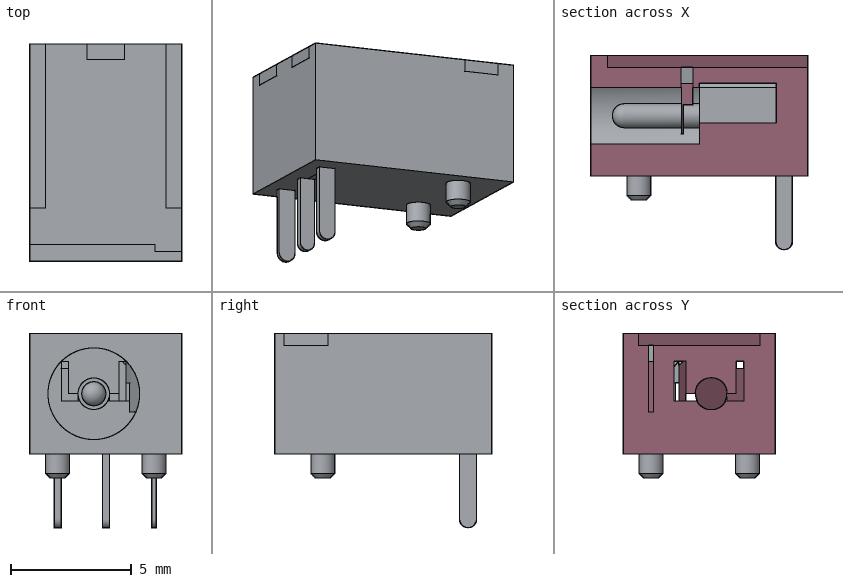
import cadquery as cq
import math


WIDTH = 6.3
DEPTH = 9.0
HEIGHT = 4.995

BORE_DIAMETER = 3.8
BORE_RADIUS = BORE_DIAMETER / 2
BORE_DEPTH = 4.5
AXIS_X = -0.495
AXIS_Z = HEIGHT / 2
PIN_DIAMETER = 1.0
PIN_TIP_Y = 0.9
COLLAR_DIAMETER = 1.305
COLLAR_RADIUS = COLLAR_DIAMETER / 2

PEG_DIAMETER = 1.0
PEG_LENGTH = 1.0
PEG_CHAMFER = 0.2
PEG_OFFSET_X = 2.0
PEG_Y = 2.0

LID_THICKNESS = 0.495
SIDE_RIM_WIDTH = 0.65
SIDE_RIM_FRONT_Y = 2.205
FRONT_RIM_DEPTH = 0.7
RIM_STEP_X = 2.04
RIM_STEP_DEPTH = 0.4
REAR_TAB_WIDTH = 1.56
REAR_TAB_DEPTH = 0.64
LID_BOTTOM_Z = HEIGHT - LID_THICKNESS

SHEET = 0.3
SPRING_SHEET = 0.2
LEG_BOTTOM_Z = -3.05
LEG_Y = 8.01
SIDE_LEG_WIDTH = 0.72
MIDDLE_LEG_WIDTH = 0.65
SIDE_LEG_X = 2.0

SLOT_HALF_WIDTH = BORE_RADIUS * math.sin(math.pi / 4)
SLOT_LEFT_X = AXIS_X - SLOT_HALF_WIDTH
SLOT_RIGHT_X = AXIS_X + SLOT_HALF_WIDTH
SLOT_TOP_Z = AXIS_Z + SLOT_HALF_WIDTH
SLOT_BOTTOM_Z = AXIS_Z - SHEET

CONTACT_CHAMFER = 0.17

PLATE_FRONT_Y = LEG_Y - MIDDLE_LEG_WIDTH / 2

SPRING_BOTTOM_Z = 1.75
FINGER_BOTTOM_Z = 2.94
FOLD_Y = 1.53
KNEE_X = 1.035
LEAF_EDGE_X = 0.98
LEAF_ANGLE = 22.0
KNEE_ANGLE = 17.0
FINGER_ANGLE = 19.0


def block(x0, x1, y0, y1, z0, z1):
    """Box between two opposite corners."""
    return cq.Workplane("XY").box(x1 - x0, y1 - y0, z1 - z0, centered=False).translate((x0, y0, z0))


def y_cylinder(diameter, y0, y1):
    """Cylinder on the bore axis."""
    circle = cq.Workplane("XZ", origin=(AXIS_X, y0, AXIS_Z)).circle(diameter / 2)
    return circle.extrude(y0 - y1)


def make_leg(center_x, thickness, width, top_z):
    """Flat solder leg with a rounded lower end."""
    radius = width / 2
    return (
        cq.Workplane("YZ", origin=(center_x - thickness / 2, 0, 0))
        .moveTo(LEG_Y - radius, top_z)
        .lineTo(LEG_Y - radius, LEG_BOTTOM_Z + radius)
        .threePointArc((LEG_Y, LEG_BOTTOM_Z), (LEG_Y + radius, LEG_BOTTOM_Z + radius))
        .lineTo(LEG_Y + radius, top_z)
        .close()
        .extrude(thickness)
    )


def make_lid():
    """Flat lid, set flush into the top of the housing."""
    half = WIDTH / 2
    inner = half - SIDE_RIM_WIDTH
    outline = [
        (-half, FRONT_RIM_DEPTH),
        (RIM_STEP_X, FRONT_RIM_DEPTH),
        (RIM_STEP_X, RIM_STEP_DEPTH),
        (half, RIM_STEP_DEPTH),
        (half, SIDE_RIM_FRONT_Y),
        (inner, SIDE_RIM_FRONT_Y),
        (inner, DEPTH),
        (REAR_TAB_WIDTH / 2, DEPTH),
        (REAR_TAB_WIDTH / 2, DEPTH - REAR_TAB_DEPTH),
        (-REAR_TAB_WIDTH / 2, DEPTH - REAR_TAB_DEPTH),
        (-REAR_TAB_WIDTH / 2, DEPTH),
        (-inner, DEPTH),
        (-inner, SIDE_RIM_FRONT_Y),
        (-half, SIDE_RIM_FRONT_Y),
    ]
    return cq.Workplane("XY", origin=(0, 0, LID_BOTTOM_Z)).polyline(outline).close().extrude(LID_THICKNESS)


def make_center_pin():
    """Round-tipped pin whose wider collar runs through the end wall to the pin terminal."""
    radius = PIN_DIAMETER / 2
    ball_y = PIN_TIP_Y + radius
    shaft = y_cylinder(PIN_DIAMETER, ball_y, BORE_DEPTH)
    tip = cq.Workplane("XY").sphere(radius).translate((AXIS_X, ball_y, AXIS_Z))
    collar = y_cylinder(COLLAR_DIAMETER, BORE_DEPTH, PLATE_FRONT_Y)
    return shaft.union(tip).union(collar)


def make_pin_terminal():
    """Round-topped plate behind the pin, with its leg folded back from the right edge."""
    left_x = AXIS_X - COLLAR_RADIUS
    right_x = AXIS_X + COLLAR_RADIUS
    back_y = PLATE_FRONT_Y + SHEET
    plate = block(left_x, right_x, PLATE_FRONT_Y, back_y, 0, AXIS_Z)
    plate = plate.union(y_cylinder(COLLAR_DIAMETER, PLATE_FRONT_Y, back_y))
    return plate.union(make_leg(right_x - SHEET / 2, SHEET, MIDDLE_LEG_WIDTH, AXIS_Z))


def make_left_terminal():
    """L-section contact in the left half of the slot, joined to the left leg."""
    top_z = SLOT_TOP_Z - SHEET
    back_y = LEG_Y + SIDE_LEG_WIDTH / 2
    arm = block(SLOT_LEFT_X, SLOT_LEFT_X + SHEET, BORE_DEPTH, back_y, SLOT_BOTTOM_Z, top_z)
    foot = block(SLOT_LEFT_X, AXIS_X - COLLAR_RADIUS, BORE_DEPTH, back_y, SLOT_BOTTOM_Z, AXIS_Z)
    leg = make_leg(SLOT_LEFT_X - SHEET / 2, SHEET, SIDE_LEG_WIDTH, top_z)
    return arm.union(foot).union(leg)


def make_fixed_contact():
    """Upright strip in the right arm of the slot, chamfered at its top outer edge."""
    strip = block(
        SLOT_RIGHT_X - SHEET, SLOT_RIGHT_X, BORE_DEPTH, PLATE_FRONT_Y, SLOT_BOTTOM_Z, SLOT_TOP_Z
    )
    return strip.faces(">X").edges(">Z").chamfer(CONTACT_CHAMFER)


def leaf_path():
    """Inner face of the leaf in plan: fold, knee, edge of the wide part and finger tip."""
    path = [(SIDE_LEG_X - SPRING_SHEET / 2, FOLD_Y)]
    for x, angle in ((KNEE_X, LEAF_ANGLE), (LEAF_EDGE_X, KNEE_ANGLE), (SLOT_RIGHT_X, FINGER_ANGLE)):
        last_x, last_y = path[-1]
        path.append((x, last_y + (last_x - x) / math.tan(math.radians(angle))))
    return path


LEAF_PATH = leaf_path()
LEAF_TIP_Y = LEAF_PATH[-1][1]
LEAF_EDGE_Y = LEAF_PATH[-2][1]
SPRING_OUTER_X = SIDE_LEG_X + SPRING_SHEET / 2
SPRING_INNER_X = SIDE_LEG_X - SPRING_SHEET / 2
SPRING_BACK_Y = LEG_Y + SIDE_LEG_WIDTH / 2


def make_spring_contact():
    """Side plate on the right leg with a leaf folded back into the bore."""
    shift = SPRING_SHEET / math.cos(math.radians(LEAF_ANGLE))
    back_face = [(x + shift, y) for x, y in reversed(LEAF_PATH)]
    leaf = (
        cq.Workplane("XY", origin=(0, 0, SPRING_BOTTOM_Z))
        .polyline(LEAF_PATH + back_face)
        .close()
        .extrude(SLOT_TOP_Z - SPRING_BOTTOM_Z)
    )
    finger_gap = block(
        SLOT_RIGHT_X, SPRING_INNER_X, LEAF_EDGE_Y, LEAF_TIP_Y, SPRING_BOTTOM_Z, FINGER_BOTTOM_Z
    )
    side_plate = block(
        SPRING_INNER_X, SPRING_OUTER_X, FOLD_Y, SPRING_BACK_Y, SPRING_BOTTOM_Z, SLOT_TOP_Z
    )
    leg = make_leg(SIDE_LEG_X, SPRING_SHEET, SIDE_LEG_WIDTH, SLOT_TOP_Z)
    beyond_plate = block(SPRING_OUTER_X, WIDTH / 2, FOLD_Y, LEAF_TIP_Y, SPRING_BOTTOM_Z, SLOT_TOP_Z)
    return leaf.cut(finger_gap).cut(beyond_plate).union(side_plate).union(leg)


def make_pegs():
    """Two chamfered locating pegs, part of the housing."""
    return (
        cq.Workplane("XY")
        .pushPoints([(-PEG_OFFSET_X, PEG_Y), (PEG_OFFSET_X, PEG_Y)])
        .circle(PEG_DIAMETER / 2)
        .extrude(-PEG_LENGTH)
        .faces("<Z")
        .chamfer(PEG_CHAMFER)
    )


def make_slot():
    """U-shaped slot from the end wall back to the pin terminal, with relief for the finger tip."""
    span = (BORE_DEPTH, PLATE_FRONT_Y)
    left_arm = block(SLOT_LEFT_X, SLOT_LEFT_X + SHEET, *span, SLOT_BOTTOM_Z, SLOT_TOP_Z)
    base = block(SLOT_LEFT_X, SLOT_RIGHT_X, *span, SLOT_BOTTOM_Z, AXIS_Z)
    right_arm = block(SLOT_RIGHT_X - SHEET, KNEE_X, *span, SLOT_BOTTOM_Z, SLOT_TOP_Z)
    return left_arm.union(base).union(right_arm)


def make_spring_pocket():
    """Pocket, closed above by the lid, in which the leaf can flex."""
    outline = LEAF_PATH + [
        (SPRING_INNER_X, LEAF_TIP_Y),
        (SPRING_INNER_X, SPRING_BACK_Y),
        (SPRING_OUTER_X, SPRING_BACK_Y),
        (SPRING_OUTER_X, FOLD_Y),
    ]
    return (
        cq.Workplane("XY", origin=(0, 0, SPRING_BOTTOM_Z))
        .polyline(outline)
        .close()
        .extrude(LID_BOTTOM_Z - SPRING_BOTTOM_Z)
    )


def make_housing(inserts):
    """Moulded block with bore, slot and spring pocket, recessed to fit the inserted bodies."""
    body = block(-WIDTH / 2, WIDTH / 2, 0, DEPTH, 0, HEIGHT).union(make_pegs())
    body = body.cut(y_cylinder(BORE_DIAMETER, 0, BORE_DEPTH))
    body = body.cut(make_slot()).cut(make_spring_pocket())
    for insert in inserts:
        body = body.cut(insert)
    return body


lid = make_lid()
center_pin = make_center_pin()
pin_terminal = make_pin_terminal()
left_terminal = make_left_terminal()
fixed_contact = make_fixed_contact()
spring_contact = make_spring_contact()
housing = make_housing(
    [lid, center_pin, pin_terminal, left_terminal, fixed_contact, spring_contact]
)

result = cq.Compound.makeCompound(
    [
        housing.val(),
        lid.val(),
        center_pin.val(),
        pin_terminal.val(),
        left_terminal.val(),
        fixed_contact.val(),
        spring_contact.val(),
    ]
)